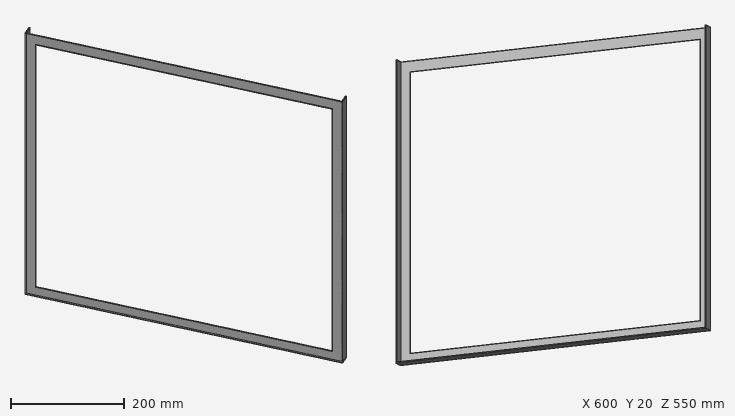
import cadquery as cq

width = 600.0
depth = 20.0
height = 550.0
border = 20.0
sheet = 2.0

outer = cq.Workplane("XY").box(width, depth, height)
cavity = cq.Workplane("XY").box(width - 2 * sheet, depth, height).translate((0, sheet, sheet))
tray = outer.cut(cavity)

opening = cq.Workplane("XY").box(width - 2 * border, depth, height - 2 * border)

result = tray.cut(opening)